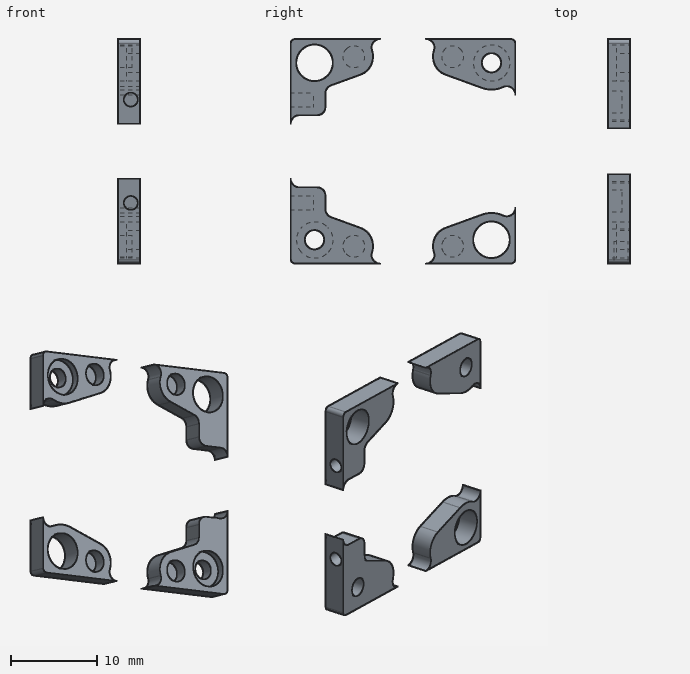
import cadquery as cq
import math

SPAN = 26.0
THICKNESS = 2.6

CORNER_RADIUS = 0.5
FILLET_RADIUS = 1.0
BORE_OFFSET = 2.75
BORE_LOBE_RADIUS = 3.12
POCKET_Y = 7.28
POCKET_Z = 2.03
POCKET_LOBE_RADIUS = 2.25

LEG_WIDTH = 4.03
LEG_LENGTH = 8.85

BORE_DIAMETER = 4.2
SCREW_DIAMETER = 2.2
COUNTERBORE_DEPTH = 1.0
POCKET_DIAMETER = 2.52
POCKET_DEPTH = 1.6
SIDE_HOLE_DIAMETER = 1.6
SIDE_HOLE_DEPTH = 2.6
SIDE_HOLE_X = 1.5
SIDE_HOLE_Z = 7.02

LOBE_DY = POCKET_Y - BORE_OFFSET
LOBE_DZ = POCKET_Z - BORE_OFFSET
FLANK_ANGLE = (
    math.atan2(LOBE_DZ, LOBE_DY)
    + math.acos((BORE_LOBE_RADIUS - POCKET_LOBE_RADIUS) / math.hypot(LOBE_DY, LOBE_DZ))
)


def polar(center, radius, angle):
    """Point on a circle at an angle in radians."""
    return (center[0] + radius * math.cos(angle), center[1] + radius * math.sin(angle))


def between(center_a, radius_a, center_b):
    """Point on circle A on the way to the centre of B."""
    angle = math.atan2(center_b[1] - center_a[1], center_b[0] - center_a[0])
    return polar(center_a, radius_a, angle)


def arc_middle(center, radius, start, end):
    """Middle of the shorter arc between two points of a circle."""
    return between(center, radius, ((start[0] + end[0]) / 2, (start[1] + end[1]) / 2))


def add_arc(outline, center, radius, start, end):
    return outline.threePointArc(arc_middle(center, radius, start, end), end)


BORE = (BORE_OFFSET, BORE_OFFSET)
POCKET = (POCKET_Y, POCKET_Z)
FLANK_AT_POCKET = polar(POCKET, POCKET_LOBE_RADIUS, FLANK_ANGLE)
FLANK_AT_BORE = polar(BORE, BORE_LOBE_RADIUS, FLANK_ANGLE)


def start_outline():
    """Outer corner, edge along Y, feathered tip and pocket lobe, up to the flank."""
    reach = math.sqrt(
        (POCKET_LOBE_RADIUS + FILLET_RADIUS) ** 2 - (POCKET_Z - FILLET_RADIUS) ** 2
    )
    fillet = (POCKET_Y + reach, FILLET_RADIUS)
    tip = (fillet[0], 0)
    joint = between(POCKET, POCKET_LOBE_RADIUS, fillet)
    corner_center = (CORNER_RADIUS, CORNER_RADIUS)
    corner_start = (0, CORNER_RADIUS)
    outline = cq.Workplane("YZ").moveTo(*corner_start)
    outline = add_arc(outline, corner_center, CORNER_RADIUS, corner_start, (CORNER_RADIUS, 0))
    outline = outline.lineTo(*tip)
    outline = add_arc(outline, fillet, FILLET_RADIUS, tip, joint)
    return add_arc(outline, POCKET, POCKET_LOBE_RADIUS, joint, FLANK_AT_POCKET)


def short_blank():
    """Plate whose second feathered tip runs straight off the bore lobe."""
    reach = math.sqrt(
        (BORE_LOBE_RADIUS + FILLET_RADIUS) ** 2 - (BORE_OFFSET - FILLET_RADIUS) ** 2
    )
    fillet = (FILLET_RADIUS, BORE_OFFSET + reach)
    joint = between(BORE, BORE_LOBE_RADIUS, fillet)
    outline = start_outline().lineTo(*FLANK_AT_BORE)
    outline = add_arc(outline, BORE, BORE_LOBE_RADIUS, FLANK_AT_BORE, joint)
    outline = add_arc(outline, fillet, FILLET_RADIUS, joint, (0, fillet[1]))
    return outline.close().extrude(THICKNESS)


def long_blank():
    """Plate with a leg along Z that ends in the second feathered tip."""
    inner_y = LEG_WIDTH + FILLET_RADIUS
    flank_offset = BORE_LOBE_RADIUS + FILLET_RADIUS
    inner_z = BORE_OFFSET + (
        flank_offset - (inner_y - BORE_OFFSET) * math.cos(FLANK_ANGLE)
    ) / math.sin(FLANK_ANGLE)
    inner = (inner_y, inner_z)
    inner_start = polar(inner, -FILLET_RADIUS, FLANK_ANGLE)
    inner_end = (LEG_WIDTH, inner_z)

    end_center = (LEG_WIDTH - FILLET_RADIUS, LEG_LENGTH - FILLET_RADIUS)
    end_start = (LEG_WIDTH, end_center[1])
    end_finish = (end_center[0], LEG_LENGTH)
    tip_center = (FILLET_RADIUS, LEG_LENGTH + FILLET_RADIUS)
    tip_start = (FILLET_RADIUS, LEG_LENGTH)

    outline = start_outline().lineTo(*inner_start)
    outline = add_arc(outline, inner, FILLET_RADIUS, inner_start, inner_end)
    outline = outline.lineTo(*end_start)
    outline = add_arc(outline, end_center, FILLET_RADIUS, end_start, end_finish)
    outline = outline.lineTo(*tip_start)
    outline = add_arc(outline, tip_center, FILLET_RADIUS, tip_start, (0, tip_center[1]))
    return outline.close().extrude(THICKNESS)


def drill(center, diameter, depth):
    """Cutter entering the -X face."""
    return cq.Workplane("YZ").center(*center).circle(diameter / 2).extrude(depth)


def cut_pocket(blank):
    return blank.cut(drill(POCKET, POCKET_DIAMETER, POCKET_DEPTH))


def cut_plain_bore(blank):
    return blank.cut(drill(BORE, BORE_DIAMETER, THICKNESS))


def cut_counterbore(blank):
    bored = blank.cut(drill(BORE, BORE_DIAMETER, COUNTERBORE_DEPTH))
    return bored.cut(drill(BORE, SCREW_DIAMETER, THICKNESS))


def cut_side_hole(blank):
    """Blind hole entering the outer edge of the leg along Y."""
    cutter = cq.Solid.makeCylinder(
        SIDE_HOLE_DIAMETER / 2,
        SIDE_HOLE_DEPTH,
        cq.Vector(SIDE_HOLE_X, 0, SIDE_HOLE_Z),
        cq.Vector(0, 1, 0),
    )
    return blank.cut(cq.Workplane(cutter))


def place(bracket, at_plus_y, at_plus_z):
    """Move a bracket to the -Y -Z corner, then mirror it to its own corner."""
    placed = bracket.translate((-THICKNESS / 2, -SPAN / 2, -SPAN / 2))
    if at_plus_y:
        placed = placed.mirror("XZ")
    if at_plus_z:
        placed = placed.mirror("XY")
    return placed.solids()


long_bracket = cut_side_hole(cut_pocket(long_blank()))
short_bracket = cut_pocket(short_blank())

long_counterbored = place(cut_counterbore(long_bracket), False, False)
long_plain = place(cut_plain_bore(long_bracket), False, True)
short_plain = place(cut_plain_bore(short_bracket), True, False)
short_counterbored = place(cut_counterbore(short_bracket), True, True)

result = cq.Compound.makeCompound([
    long_counterbored.val(),
    long_plain.val(),
    short_plain.val(),
    short_counterbored.val(),
])